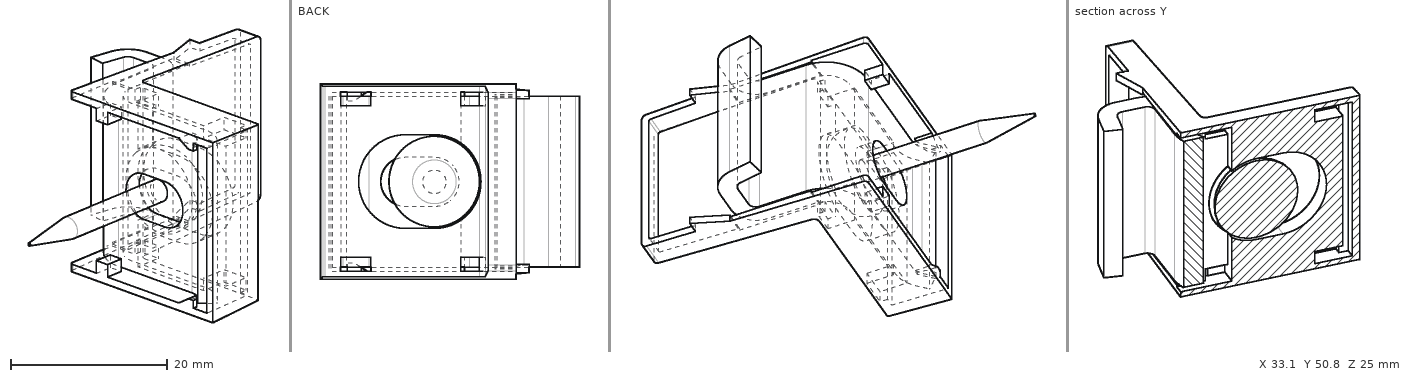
import cadquery as cq
import math


FRONT_SIZE = 25.0
HOUSING_DEPTH = 32.0
LEG_DEPTH = 9.0
ARM_END_THICKNESS = 3.55
WALL = 1.05
SIDE_DRAFT = math.tan(math.radians(2))
ARM_DRAFT = math.tan(math.radians(1))
INSIDE_CORNER_RADIUS = 0.75
ARM_END_RADIUS = 0.75
POCKET_CORNER_RADIUS = 0.3
FRONT_CORNER_RADIUS = 0.5
BACK_CORNER_RADIUS = 0.25

BARB_HEIGHT = 1.7
BARB_START = 19.45
BARB_END = 24.35

STRIP = 2.5
CLIP_HEIGHT = 21.85
CLIP_SETBACK = 2.7
CORNER_OUTER_RADIUS = 6.0
HOOK_INNER_RADIUS = 1.0
JOG_INNER_RADIUS = 2.2
JOG_CORNER_X = 20.25
JOG_REACH = 2.35
HOOK_BACK = 18.8
HOOK_CORNER_X = -6.0
HOOK_TIP_LENGTH = 5.2
HOOK_LEAN = math.radians(10)
SLOT_WIDTH = 6.3
SLOT_TRAVEL = 3.65

NAIL_X = 10.45
NAIL_DIAMETER = 3.0
TIP_DIAMETER = 0.4
TIP_Y = -18.8
SHOULDER_Y = -11.45
HEAD_DIAMETER = 11.6
HEAD_GAP = 0.3
HEAD_ROUNDING = 3.0
HEAD_PROUD = 0.2

ARM_POCKET_DEPTH = 2.75
CLIP_RELIEF = 0.15
PAD_LEFT = 7.05
PAD_RIGHT = 22.4
HEAD_SLOT_WIDTH = 12.0
PEG_LEFT = 4.65
PEG_WIDTH = 1.95
PEG_TIP_Z = 9.7
PEG_CLEARANCE = 0.1
PEG_OPENING_LEFT = 3.95
SNAP_LEFT = 19.05
SNAP_CREST = 20.75
SNAP_RIGHT = 21.6
SNAP_TIP_Z = 10.35
SNAP_DEPTH = 2.45
SNAP_SLOPE_SUM = 22.25
SNAP_OPENING_LEFT = 18.55

HALF_FRONT = FRONT_SIZE / 2
HALF_INNER = HALF_FRONT - WALL
PLATE_BACK = CLIP_SETBACK + STRIP
CAVITY_DEPTH = LEG_DEPTH - WALL
OVERCUT = 5.1


def block(x0, x1, y0, y1, z0, z1):
    size = (x1 - x0, y1 - y0, z1 - z0)
    return cq.Workplane("XY").box(*size, centered=False).translate((x0, y0, z0))


def prism_z(points, half_height):
    return cq.Workplane("XY").polyline(points).close().extrude(half_height, both=True)


def drafted_slab(x0, x1, y_end, half_front):
    """Slab whose top and bottom converge from the front rim towards the arm end."""
    half_end = half_front - y_end * SIDE_DRAFT
    profile = [(0, -half_front), (y_end, -half_end), (y_end, half_end), (0, half_front)]
    return cq.Workplane("YZ").polyline(profile).close().extrude(x1 - x0).translate((x0, 0, 0))


def housing_shell():
    arm_root = ARM_END_THICKNESS + (HOUSING_DEPTH - LEG_DEPTH) * ARM_DRAFT
    right_back = FRONT_SIZE - LEG_DEPTH * SIDE_DRAFT
    outline = [
        (0, 0), (FRONT_SIZE, 0), (right_back, LEG_DEPTH), (arm_root, LEG_DEPTH),
        (ARM_END_THICKNESS, HOUSING_DEPTH), (0, HOUSING_DEPTH),
        (0, BARB_END), (-BARB_HEIGHT, BARB_END), (0, BARB_START),
    ]
    rounded_corners = [
        ((0, 0), FRONT_CORNER_RADIUS),
        ((right_back, LEG_DEPTH), BACK_CORNER_RADIUS),
        ((arm_root, LEG_DEPTH), INSIDE_CORNER_RADIUS),
    ]
    solid = prism_z(outline, HALF_FRONT)
    for (x, y), radius in rounded_corners:
        solid = solid.edges("|Z").edges(cq.NearestToPointSelector((x, y, 0))).fillet(radius)
    envelope = drafted_slab(-OVERCUT, FRONT_SIZE, HOUSING_DEPTH, HALF_FRONT)
    envelope = envelope.faces(">Y").edges("|X").fillet(ARM_END_RADIUS)
    return solid.intersect(envelope)


def arm_pocket():
    pocket = drafted_slab(-OVERCUT, ARM_POCKET_DEPTH, HOUSING_DEPTH - WALL, HALF_INNER)
    pocket = pocket.faces(">Y").edges("|X").fillet(POCKET_CORNER_RADIUS)
    half_relief = CLIP_HEIGHT / 2 + CLIP_RELIEF
    relief = block(-OVERCUT, ARM_POCKET_DEPTH, -OVERCUT, BARB_START, -half_relief, half_relief)
    return pocket.union(relief)


def leg_cavity():
    right_front = FRONT_SIZE - WALL
    right_back = right_front - CAVITY_DEPTH * SIDE_DRAFT
    outline = [(-OVERCUT, 0), (right_front, 0), (right_back, CAVITY_DEPTH), (-OVERCUT, CAVITY_DEPTH)]
    pad = block(PAD_LEFT, PAD_RIGHT, PLATE_BACK, LEG_DEPTH, -HALF_INNER, HALF_INNER)
    return prism_z(outline, HALF_INNER).cut(pad)


def slot_prism(width, y_start):
    """Slot along X that follows the travel of the nail, running back from y_start."""
    return (cq.Workplane("XZ", origin=(NAIL_X + SLOT_TRAVEL / 2, y_start, 0))
            .slot2D(SLOT_TRAVEL + width, width).extrude(-LEG_DEPTH))


def upper_peg():
    return block(PEG_LEFT, PEG_LEFT + PEG_WIDTH, 0, CLIP_SETBACK - PEG_CLEARANCE, PEG_TIP_Z, HALF_INNER)


def upper_snap():
    """Ramped catch with its rear slanted parallel to the jogged end of the clip."""
    ramp = [(SNAP_LEFT, HALF_INNER), (SNAP_CREST, SNAP_TIP_Z),
            (SNAP_RIGHT, SNAP_TIP_Z), (SNAP_RIGHT, HALF_INNER)]
    plan = [(SNAP_LEFT, 0), (SNAP_RIGHT, 0), (SNAP_RIGHT, SNAP_SLOPE_SUM - SNAP_RIGHT),
            (SNAP_SLOPE_SUM - SNAP_DEPTH, SNAP_DEPTH), (SNAP_LEFT, SNAP_DEPTH)]
    catch = cq.Workplane("XZ").polyline(ramp).close().extrude(-SNAP_DEPTH)
    return catch.intersect(prism_z(plan, HALF_FRONT))


def upper_openings():
    """Openings through the leg behind the upper peg and snap."""
    left = block(PEG_OPENING_LEFT, PAD_LEFT, CAVITY_DEPTH, LEG_DEPTH, PEG_TIP_Z, HALF_INNER)
    right = block(SNAP_OPENING_LEFT, PAD_RIGHT, PLATE_BACK, LEG_DEPTH, PEG_TIP_Z, HALF_INNER)
    return left.union(right)


def make_housing():
    housing = housing_shell().cut(arm_pocket()).cut(leg_cavity())
    housing = housing.cut(slot_prism(HEAD_SLOT_WIDTH, PLATE_BACK))
    openings = upper_openings()
    catches = [upper_peg(), upper_snap()]
    housing = housing.cut(openings).cut(openings.mirror("XY"))
    for catch in catches:
        housing = housing.union(catch).union(catch.mirror("XY"))
    return housing


def bent_path(start, bends, end):
    """Path of straight runs joined by tangent arcs; bends lists (corner, centreline radius)."""
    corners = [cq.Vector(*start)] + [cq.Vector(*corner) for corner, _ in bends] + [cq.Vector(*end)]
    path = cq.Workplane("XY").moveTo(*start)
    for i, (_, radius) in enumerate(bends, start=1):
        before = (corners[i - 1] - corners[i]).normalized()
        after = (corners[i + 1] - corners[i]).normalized()
        setback = radius / math.tan(before.getAngle(after) / 2)
        arc_start = corners[i] + before * setback
        arc_end = corners[i] + after * setback
        path = path.lineTo(arc_start.x, arc_start.y)
        path = path.tangentArcPoint((arc_end.x, arc_end.y), relative=False)
    return path.lineTo(*end)


def make_clip():
    half = STRIP / 2
    plate_y = CLIP_SETBACK + half
    side_x = half
    hook_y = HOOK_BACK - half
    jog_end = (JOG_CORNER_X + JOG_REACH, plate_y - JOG_REACH)
    hook_tip = (HOOK_CORNER_X - HOOK_TIP_LENGTH * math.sin(HOOK_LEAN),
                hook_y - HOOK_TIP_LENGTH * math.cos(HOOK_LEAN))
    bends = [
        ((JOG_CORNER_X, plate_y), JOG_INNER_RADIUS + half),
        ((side_x, plate_y), CORNER_OUTER_RADIUS - half),
        ((side_x, hook_y), HOOK_INNER_RADIUS + half),
        ((HOOK_CORNER_X, hook_y), HOOK_INNER_RADIUS + half),
    ]
    section = cq.Plane(origin=(*jog_end, 0), xDir=(0, 0, 1), normal=(-1, 1, 0))
    clip = cq.Workplane(section).rect(CLIP_HEIGHT, STRIP).sweep(bent_path(jog_end, bends, hook_tip))
    return clip.cut(slot_prism(SLOT_WIDTH, 0))


def make_nail():
    """Pointed shank and round-edged head, revolved about the nail axis."""
    head_front = PLATE_BACK + HEAD_GAP
    head_back = LEG_DEPTH + HEAD_PROUD
    head_radius = HEAD_DIAMETER / 2
    half_profile = (
        cq.Workplane("XY", origin=(NAIL_X, 0, 0))
        .moveTo(0, TIP_Y)
        .lineTo(TIP_DIAMETER / 2, TIP_Y)
        .lineTo(NAIL_DIAMETER / 2, SHOULDER_Y)
        .lineTo(NAIL_DIAMETER / 2, head_front)
        .lineTo(head_radius, head_front)
        .lineTo(head_radius, head_back - HEAD_ROUNDING)
        .radiusArc((head_radius - HEAD_ROUNDING, head_back), -HEAD_ROUNDING)
        .lineTo(0, head_back)
        .close()
    )
    return half_profile.revolve(360, (0, 0, 0), (0, 1, 0))


housing = make_housing()
clip = make_clip()
nail = make_nail()

result = cq.Compound.makeCompound([body.solids().val() for body in (housing, clip, nail)])